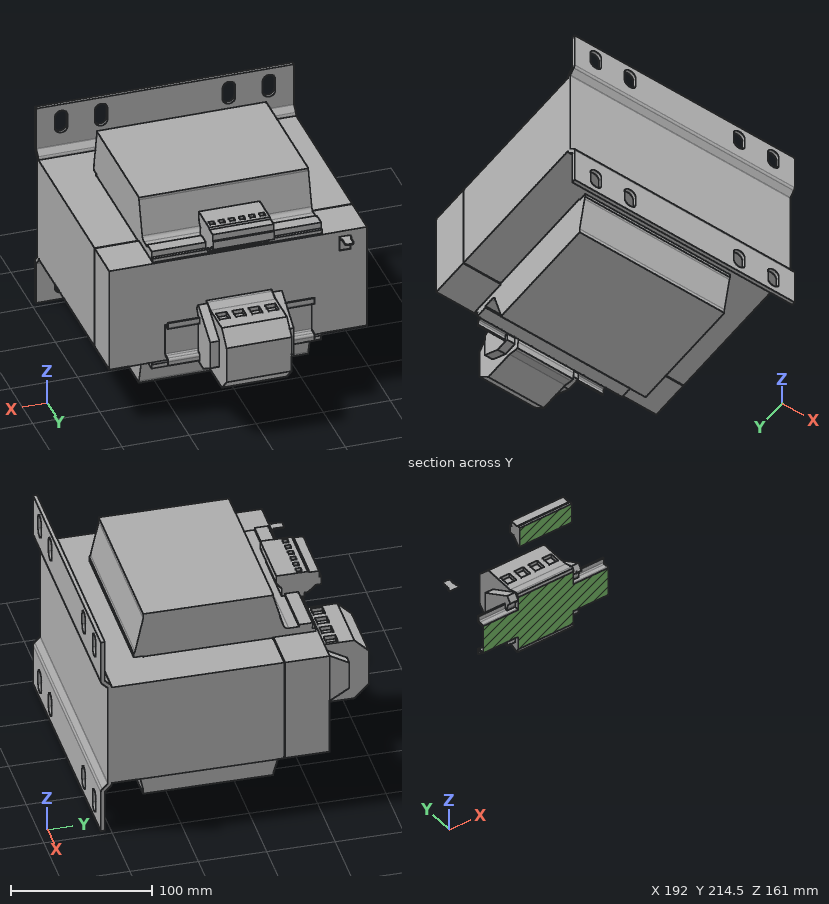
import cadquery as cq

WIDTH = 192.0
DEPTH = 214.5
HEIGHT = 161.0

CORE_BACK = 167.2
CORE_HEIGHT = 81.7
YOKE = 32.5
CORE_GAP = 0.6
WINDOW_FRONT = 39.5

SHEET = 3.0
SHEET_OFFSET = 5.1
BEND_RISE = 5.1
BEND_OUTER_RADIUS = 3.5
BEND_INNER_RADIUS = 0.5
SLOT_LENGTH = 18.0
SLOT_WIDTH = 9.5
SLOT_Z = 66.2
SLOT_XS = (47.5, 77.5)

BOBBIN_HEIGHT = 153.5
BOBBIN_FRONT = 32.5
FRONT_EDGE_Z = 73.0
BACK_EDGE_Z = 75.0
FRONT_LIP_Z = 44.0
FRONT_LIP_BEVEL = (0.9, 1.5)
SLOPE_FOOT_Y = 142.8
FLANGE_BACK = 165.5
FLANGE_Z = 46.7
FLANGE_RIM_Z = 48.5
FLANGE_LIP_Z = 43.7
RIM_FRONT = 153.3
RIM_BACK = 163.2
FLANGE_FILLET = 3.9

RAIL_LENGTH = 109.1
RAIL_Z = -23.5
RAIL_HEIGHT = 35.2
RAIL_CHANNEL = 26.2
RAIL_DEPTH = 7.5
RAIL_SHEET = 1.0
RAIL_BEND_RADIUS = 0.96

BLOCK_COUNT = 4
BLOCK_PITCH = 12.14
BLOCK_HEIGHT = 49.5
BLOCK_CHAMFER = 10.7
BLOCK_FOOT_FLARE = 2.4
BLOCK_HOLE_WIDTH = 7.7
BLOCK_HOLE_LENGTH = 8.5
BLOCK_HOLE_Y = 188.0
END_PLATE = 6.9

STRIP_WIDTH = 45.5
STRIP_HOLE_COUNT = 6
STRIP_HOLE_PITCH = 7.5
STRIP_HOLE = 3.9
STRIP_HOLE_Y = 164.5
STRIP_TOP = 64.5

HOLE_DEPTH = 3.2

TAB_X = -79.5
TAB_Z = 36.0
TAB_TIP = 178.5
TAB_SHOULDER = 170.7
TAB_WIDTH = 6.5
TAB_BASE_WIDTH = 8.1
TAB_SHEET = 0.9
TAB_BASE_HEIGHT = 10.5
TAB_CHAMFER = 1.0

CORE_TOP = CORE_HEIGHT / 2
CORE_FRONT = SHEET_OFFSET + SHEET
WINDOW_BACK = CORE_BACK - YOKE
WINDOW_HALF = WIDTH / 2 - YOKE + CORE_GAP / 2
BOBBIN_HALF = WINDOW_HALF - CORE_GAP
BLOCKS_WIDTH = BLOCK_COUNT * BLOCK_PITCH


def box(x, y, z):
    """Box between the (low, high) limits given for each axis."""
    size = (x[1] - x[0], y[1] - y[0], z[1] - z[0])
    return cq.Workplane("XY").box(*size, centered=False).translate((x[0], y[0], z[0]))


def extrude_x(points, width):
    """Closed (y, z) outline extruded along X, symmetric about X = 0."""
    sketch = cq.Workplane("YZ").polyline(points).close()
    return sketch.extrude(width / 2, both=True)


def round_corners(solid, points, radius):
    """Fillet the edges that run along X through the given (y, z) points."""
    reach = 0.1
    for y, z in points:
        corner = cq.selectors.BoxSelector((-2.1, y - reach, z - reach), (2.1, y + reach, z + reach))
        solid = solid.edges(corner).fillet(radius)
    return solid


def both_sides(upper):
    """A solid together with its mirror image below the core."""
    return upper.union(upper.mirror("XY"))


def make_core():
    """E and I stacks, parted by narrow gaps around the winding and across the outer legs."""
    core = box((-WIDTH / 2, WIDTH / 2), (CORE_FRONT, CORE_BACK), (-CORE_TOP, CORE_TOP))
    for side in (-1, 1):
        inner, middle, outer = sorted((side * BOBBIN_HALF, side * WINDOW_HALF, side * WIDTH / 2), key=abs)
        winding_gap = box(sorted((inner, middle)), (WINDOW_FRONT, WINDOW_BACK), (-CORE_TOP, CORE_TOP))
        air_gap = box(sorted((inner, outer)), (WINDOW_BACK - CORE_GAP, WINDOW_BACK), (-CORE_TOP, CORE_TOP))
        core = core.cut(winding_gap).cut(air_gap)
    return core


def make_bracket():
    """Cranked sheet with two slotted mounting feet."""
    half = HEIGHT / 2
    front_bend = CORE_TOP + BEND_RISE
    back_bend = front_bend + SHEET / 2
    outer_corners = [(0, front_bend), (CORE_FRONT, CORE_TOP + SHEET / 2)]
    inner_corners = [(SHEET_OFFSET, CORE_TOP), (SHEET, back_bend)]
    foot = extrude_x(
        [
            (SHEET_OFFSET, 0),
            (SHEET_OFFSET, CORE_TOP),
            (0, front_bend),
            (0, half),
            (SHEET, half),
            (SHEET, back_bend),
            (CORE_FRONT, CORE_TOP + SHEET / 2),
            (CORE_FRONT, 0),
        ],
        WIDTH,
    )
    foot = round_corners(foot, outer_corners, BEND_OUTER_RADIUS)
    foot = round_corners(foot, inner_corners, BEND_INNER_RADIUS)
    slot_centres = [(side * x, SLOT_Z) for x in SLOT_XS for side in (-1, 1)]
    slots = (
        cq.Workplane("XZ")
        .pushPoints(slot_centres)
        .slot2D(SLOT_LENGTH, SLOT_WIDTH, 90)
        .extrude(-SHEET)
    )
    return both_sides(foot.cut(slots))


def make_bobbin():
    """Coil former with sloping ends and a terminal flange, mirrored below the core."""
    upper = extrude_x(
        [
            (BOBBIN_FRONT, CORE_TOP),
            (BOBBIN_FRONT, FRONT_LIP_Z),
            (BOBBIN_FRONT + FRONT_LIP_BEVEL[0], FRONT_LIP_Z + FRONT_LIP_BEVEL[1]),
            (WINDOW_FRONT, FRONT_EDGE_Z),
            (WINDOW_FRONT, BOBBIN_HEIGHT / 2),
            (WINDOW_BACK, BOBBIN_HEIGHT / 2),
            (WINDOW_BACK, BACK_EDGE_Z),
            (SLOPE_FOOT_Y, FLANGE_Z),
            (RIM_FRONT, FLANGE_Z),
            (RIM_FRONT, FLANGE_RIM_Z),
            (RIM_BACK, FLANGE_RIM_Z),
            (RIM_BACK, FLANGE_LIP_Z),
            (FLANGE_BACK, FLANGE_LIP_Z),
            (FLANGE_BACK, CORE_TOP),
        ],
        2 * BOBBIN_HALF,
    )
    return both_sides(round_corners(upper, [(SLOPE_FOOT_Y, FLANGE_Z)], FLANGE_FILLET))


def make_rail():
    """Top-hat rail with its web against the back of the core."""
    back = CORE_BACK + RAIL_DEPTH
    lip = RAIL_HEIGHT / 2
    web = RAIL_CHANNEL / 2
    rail = extrude_x(
        [
            (CORE_BACK, -web),
            (CORE_BACK, web),
            (back - RAIL_SHEET, web),
            (back - RAIL_SHEET, lip),
            (back, lip),
            (back, web - RAIL_SHEET),
            (CORE_BACK + RAIL_SHEET, web - RAIL_SHEET),
            (CORE_BACK + RAIL_SHEET, RAIL_SHEET - web),
            (back, RAIL_SHEET - web),
            (back, -lip),
            (back - RAIL_SHEET, -lip),
            (back - RAIL_SHEET, -web),
        ],
        RAIL_LENGTH,
    )
    inner_corners = [
        (y, side * z)
        for side in (-1, 1)
        for y, z in ((CORE_BACK + RAIL_SHEET, web - RAIL_SHEET), (back - RAIL_SHEET, web))
    ]
    outer_corners = [
        (y, side * z)
        for side in (-1, 1)
        for y, z in ((CORE_BACK, web), (back, web - RAIL_SHEET))
    ]
    rail = round_corners(rail, inner_corners, RAIL_BEND_RADIUS)
    rail = round_corners(rail, outer_corners, RAIL_BEND_RADIUS + RAIL_SHEET)
    return rail.translate((0, 0, RAIL_Z))


def make_large_terminals():
    """Row of terminal blocks with one wire entry per block."""
    half = BLOCK_HEIGHT / 2
    foot_half = half + BLOCK_FOOT_FLARE
    upper = [
        (DEPTH, half - BLOCK_CHAMFER),
        (DEPTH - BLOCK_CHAMFER, half),
        (178.0, half),
        (170.7, foot_half),
        (168.5, foot_half),
        (167.7, half - 3.5),
    ]
    lower = [(y, -z) for y, z in reversed(upper)]
    blocks = extrude_x(upper + lower, BLOCKS_WIDTH).translate((0, 0, RAIL_Z))

    top = RAIL_Z + half
    holes = (
        cq.Workplane("XY", origin=(0, BLOCK_HOLE_Y, top))
        .rarray(BLOCK_PITCH, 2.1, BLOCK_COUNT, 1)
        .rect(BLOCK_HOLE_WIDTH, BLOCK_HOLE_LENGTH)
        .extrude(-HOLE_DEPTH)
    )
    return blocks.cut(holes)


def make_end_plates():
    """End stops, one on each side of the terminal blocks, hooked over the rail."""
    hook_y = 171.5
    plate = (
        cq.Workplane("YZ")
        .moveTo(198.3, -12.6)
        .lineTo(hook_y, 3.0)
        .lineTo(167.7, -1.7)
        .threePointArc((170.5, -5.0), (hook_y, -8.5))
        .lineTo(hook_y, -43.3)
        .lineTo(182.9, -43.3)
        .lineTo(198.3, -34.0)
        .close()
    )
    return plate.extrude(BLOCKS_WIDTH / 2 + END_PLATE, both=True)


def make_small_terminals():
    """Terminal strip clipped over the rim of the upper bobbin flange."""
    strip = extrude_x(
        [
            (151.0, FLANGE_Z),
            (151.0, 53.2),
            (147.0, 58.3),
            (147.0, STRIP_TOP),
            (170.0, STRIP_TOP),
            (171.5, 63.7),
            (178.5, 63.7),
            (178.5, 58.5),
            (180.0, 58.5),
            (180.0, 52.0),
            (176.0, 52.0),
            (170.2, FLANGE_Z),
            (167.9, FLANGE_Z),
            (167.9, FLANGE_LIP_Z),
            (RIM_BACK, FLANGE_LIP_Z),
            (RIM_BACK, FLANGE_Z),
        ],
        STRIP_WIDTH,
    )
    holes = (
        cq.Workplane("XY", origin=(0, STRIP_HOLE_Y, STRIP_TOP))
        .rarray(STRIP_HOLE_PITCH, 2.1, STRIP_HOLE_COUNT, 1)
        .rect(STRIP_HOLE, STRIP_HOLE)
        .extrude(-HOLE_DEPTH)
    )
    return strip.cut(holes)


def make_earth_tab():
    """Flat blade bent out from a small plate on the back of the core."""
    blade = box((-TAB_WIDTH / 2, TAB_WIDTH / 2), (CORE_BACK, TAB_TIP), (-TAB_SHEET / 2, TAB_SHEET / 2))
    blade = blade.edges("|Z and >Y").chamfer(TAB_CHAMFER)
    base_x = (-TAB_BASE_WIDTH / 2, TAB_BASE_WIDTH / 2)
    shoulder = box(base_x, (CORE_BACK, TAB_SHOULDER), (-TAB_SHEET / 2, TAB_SHEET / 2))
    base = box(base_x, (CORE_BACK, CORE_BACK + TAB_SHEET), (-TAB_BASE_HEIGHT, TAB_SHEET / 2))
    return blade.union(shoulder).union(base).translate((TAB_X, 0, TAB_Z))


result = (
    make_core()
    .union(make_bracket())
    .union(make_bobbin())
    .union(make_rail())
    .union(make_large_terminals())
    .union(make_end_plates())
    .union(make_small_terminals())
    .union(make_earth_tab())
)